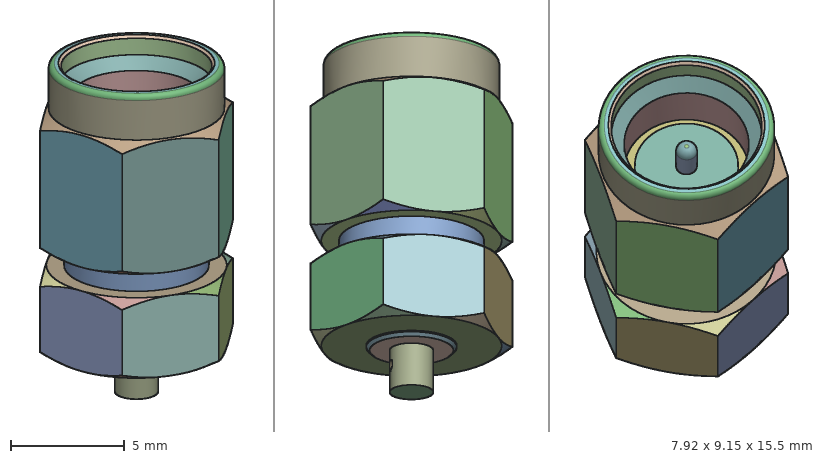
import cadquery as cq
import math

flange_bottom = 1.95
rear_nut_bottom = 2.16
rear_nut_top = 5.95
front_nut_bottom = 7.07
front_nut_top = 13.34
total_height = 15.46

across_flats = 7.92
corner_radius = across_flats / math.sqrt(3)
nut_chamfer_angle = math.radians(30)
nut_face_radius = across_flats / 2

contact_radius = 0.96
flange_radius = 2.0
flange_chamfer = 0.15
neck_radius = 3.18
sleeve_radius = 3.86
rim_fillet = 0.25

mouth_radius = 3.43
mouth_chamfer = 0.12
entry_radius = 3.31
entry_depth = 0.9
bore_radius = 2.74
cone_depth = 0.53
socket_depth = 3.45
socket_floor = total_height - socket_depth
insulator_radius = 2.27
insulator_height = 0.35

pin_radius = 0.46
pin_tip_depth = 1.6
pin_tip_flat_radius = 0.1
pin_tip_round = pin_radius - pin_tip_flat_radius
cross_hole_diameter = 0.5
cross_hole_height = 1.16


def cylinder(radius, bottom, top):
    return cq.Workplane("XY").workplane(offset=bottom).circle(radius).extrude(top - bottom)


def chamfer_drop(face_radius):
    """Height of the conical chamfer from the end face down to the hexagon corners."""
    return (corner_radius - face_radius) * math.tan(nut_chamfer_angle)


def chamfered_nut(bottom, top, top_face_radius):
    """Hexagonal nut with its corners turned off by a cone at both ends."""
    hexagon = (
        cq.Workplane("XY").workplane(offset=bottom)
        .polygon(6, 2 * corner_radius)
        .extrude(top - bottom)
        .rotate((0, 0, 0), (0, 0, 1), 30)
    )
    turned_blank = (
        cq.Workplane("XZ")
        .moveTo(0, bottom)
        .lineTo(nut_face_radius, bottom)
        .lineTo(corner_radius, bottom + chamfer_drop(nut_face_radius))
        .lineTo(corner_radius, top - chamfer_drop(top_face_radius))
        .lineTo(top_face_radius, top)
        .lineTo(0, top)
        .close()
        .revolve()
    )
    return hexagon.intersect(turned_blank)


def socket_cavity():
    """Stepped opening: chamfered mouth, wide entry, cone and straight bore."""
    cone_top = total_height - entry_depth
    return (
        cq.Workplane("XZ")
        .moveTo(0, total_height)
        .lineTo(mouth_radius, total_height)
        .lineTo(entry_radius, total_height - mouth_chamfer)
        .lineTo(entry_radius, cone_top)
        .lineTo(bore_radius, cone_top - cone_depth)
        .lineTo(bore_radius, socket_floor)
        .lineTo(0, socket_floor)
        .close()
        .revolve()
    )


flange = cylinder(flange_radius, flange_bottom, rear_nut_bottom).faces("<Z").chamfer(flange_chamfer)
sleeve = cylinder(sleeve_radius, front_nut_top, total_height).faces(">Z").edges().fillet(rim_fillet)
body = (
    cylinder(contact_radius, 0, flange_bottom)
    .union(flange)
    .union(chamfered_nut(rear_nut_bottom, rear_nut_top, nut_face_radius))
    .union(cylinder(neck_radius, rear_nut_top, front_nut_bottom))
    .union(chamfered_nut(front_nut_bottom, front_nut_top, sleeve_radius))
    .union(sleeve)
)

insulator = cylinder(insulator_radius, socket_floor, socket_floor + insulator_height)
pin = cylinder(pin_radius, socket_floor, total_height - pin_tip_depth)
pin = pin.faces(">Z").edges().fillet(pin_tip_round)
body = body.cut(socket_cavity()).union(insulator).union(pin)

cross_hole = (
    cq.Workplane("XZ")
    .center(0, cross_hole_height)
    .circle(cross_hole_diameter / 2)
    .extrude(contact_radius, both=True)
)
result = body.cut(cross_hole)